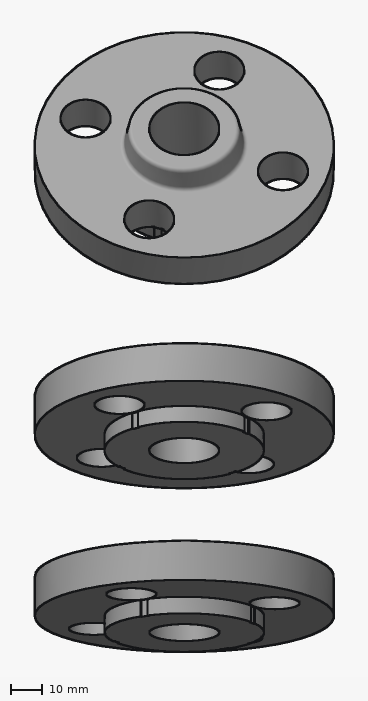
import cadquery as cq

flange_diameter = 95.2
flange_thickness = 12.9
face_diameter = 50.75
face_height = 5.4

notch_width = 2.6
notch_depth = 0.5
notch_count = 4

hub_height = 7.8
hub_base_diameter = 38.3
hub_top_diameter = 35.2
hub_top_fillet = 1.4
hub_root_fillet = 1.4

bore_diameter = 22.3
bolt_hole_diameter = 15.9
bolt_circle_diameter = 66.7
bolt_hole_count = 4

flange_bottom = face_height
flange_top = flange_bottom + flange_thickness
hub_top = flange_top + hub_height


def make_hub():
    """Cone frustum with its top edge rounded."""
    hub = (
        cq.Workplane("XY", origin=(0, 0, flange_top))
        .circle(hub_base_diameter / 2)
        .workplane(offset=hub_height)
        .circle(hub_top_diameter / 2)
        .loft(ruled=True)
    )
    return hub.faces(">Z").edges().fillet(hub_top_fillet)


def make_body():
    """Raised face, flange and hub, with a fillet where the hub meets the flange."""
    face = cq.Workplane("XY").circle(face_diameter / 2).extrude(face_height)
    flange = (
        cq.Workplane("XY", origin=(0, 0, flange_bottom))
        .circle(flange_diameter / 2)
        .extrude(flange_thickness)
    )
    body = face.union(flange).union(make_hub())
    flange_top_face = body.faces(cq.selectors.NearestToPointSelector((0, 0, flange_top)))
    hub_root = flange_top_face.edges(cq.selectors.RadiusNthSelector(0))
    return hub_root.fillet(hub_root_fillet)


def make_bore():
    return cq.Workplane("XY").circle(bore_diameter / 2).extrude(hub_top)


def make_bolt_holes():
    return (
        cq.Workplane("XY")
        .polarArray(bolt_circle_diameter / 2, 0, 360, bolt_hole_count)
        .circle(bolt_hole_diameter / 2)
        .extrude(flange_top)
    )


def make_notches():
    """Blocks centred on the rim, so that half of each one cuts into the raised face."""
    return (
        cq.Workplane("XY")
        .polarArray(face_diameter / 2, 0, 360, notch_count)
        .rect(2 * notch_depth, notch_width)
        .extrude(face_height)
    )


result = make_body().cut(make_bore()).cut(make_bolt_holes()).cut(make_notches())